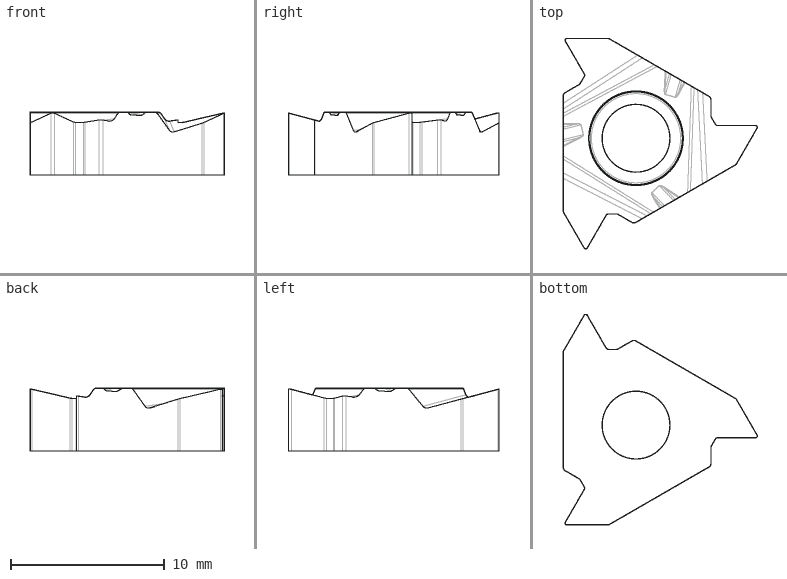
import cadquery as cq
import math

tooth_count = 3
height = 4.11
side_distance = 4.75
span = 27.42

tip_x = -3.28
tip_y = -7.21
tip_radius = 0.12
flank_slope = math.tan(math.radians(60))
valley_y = -4.94
valley_end_x = -1.22
side_round = 0.27
root_round = 0.15
ramp_round = 0.25
corner_round = 0.26

tip_height = 4.06
rake_angle = 15.0
wall_angle = 55.0
wall_turn = -32.0
wall_start_y = -1.28
groove_radius = 0.3
crest_radius = 0.22

dimple_center_y = 0.25
dimple_turn = 14.0
dimple_length = 1.28
dimple_depth = 0.2
dimple_half_width = 0.4
dimple_side_angle = 35.0
dimple_radius = 0.22
dimple_rim_radius = 0.11
dimple_overrun = 0.55
dimple_rise = 0.41

bore_radius = 4.4 / 2
mouth_radius = 3.08
seat_radius = 3.02
funnel_radius = 2.9
seat_z = 3.11
funnel_z = 2.87
throat_z = 0.56


def rotate_point(x, y, turn):
    angle = math.radians(turn)
    return (x * math.cos(angle) - y * math.sin(angle), x * math.sin(angle) + y * math.cos(angle))


def turn_index(shape, index):
    return shape.rotate((0, 0, 0), (0, 0, 1), index * 360 / tooth_count)


def make_blank():
    apex_y = tip_y - tip_radius
    flank_start = (-side_distance, apex_y + (tip_x + side_distance) * flank_slope)
    valley_start = (tip_x + (valley_y - apex_y) / flank_slope, valley_y)
    ramp_tan = math.tan(math.radians(30))
    corner_x = side_distance + valley_y * math.sin(math.radians(60)) + valley_end_x / 2
    corner = (corner_x, valley_y - (corner_x - valley_end_x) * ramp_tan)
    vertices = [
        (flank_start, side_round),
        ((tip_x, apex_y), tip_radius),
        (valley_start, root_round),
        ((valley_end_x, valley_y), ramp_round),
        (corner, corner_round),
    ]
    turns = [index * 360 / tooth_count for index in range(tooth_count)]
    outline = [rotate_point(*point, turn) for turn in turns for point, _ in vertices]
    blank = cq.Workplane("XY").polyline(outline).close().extrude(height)
    for (x, y), radius in vertices:
        for turn in turns:
            edge_point = (*rotate_point(x, y, turn), height / 2)
            blank = blank.edges(cq.NearestToPointSelector(edge_point)).fillet(radius)
    return blank


def make_groove():
    above_rake = (
        cq.Workplane("XY")
        .box(span, span, span, centered=(True, True, False))
        .rotate((0, 0, 0), (1, 0, 0), -rake_angle)
        .translate((tip_x, tip_y, tip_height))
    )
    outside_wall = (
        cq.Workplane("XY")
        .box(span, span, span, centered=(True, True, False))
        .rotate((0, 0, 0), (1, 0, 0), wall_angle)
        .rotate((0, 0, 0), (0, 0, 1), wall_turn)
        .translate((-side_distance, wall_start_y, height))
    )
    groove = above_rake.intersect(outside_wall)
    wall_drop = math.tan(math.radians(wall_angle)) * math.cos(math.radians(wall_turn))
    rake_drop = math.tan(math.radians(rake_angle))
    rake_z = tip_height - (wall_start_y - tip_y) * rake_drop
    run = (height - rake_z) / (wall_drop + rake_drop)
    root = cq.Vector(-side_distance, wall_start_y - run, height - run * wall_drop)
    root_vertex = cq.Vertex.makeVertex(*root.toTuple())
    root_edge = min(groove.edges().vals(), key=lambda edge: edge.distance(root_vertex))
    return groove.newObject([root_edge]).fillet(groove_radius)


def make_dimple():
    side_run = dimple_rise / math.tan(math.radians(dimple_side_angle))
    top_half_width = dimple_half_width + side_run
    profile = [
        (-dimple_half_width, 0),
        (dimple_half_width, 0),
        (top_half_width, dimple_rise),
        (-top_half_width, dimple_rise),
    ]
    tilt = math.degrees(math.atan2(dimple_depth, dimple_length))
    return (
        cq.Workplane("YZ")
        .polyline(profile)
        .close()
        .extrude(dimple_length + 2 * dimple_overrun)
        .edges("|X and <Z")
        .fillet(dimple_radius)
        .translate((-dimple_overrun, 0, 0))
        .rotate((0, 0, 0), (0, 1, 0), -tilt)
        .rotate((0, 0, 0), (0, 0, 1), dimple_turn)
        .translate((-side_distance, dimple_center_y, height - dimple_depth))
    )


def make_bore():
    drop = funnel_z - throat_z
    narrowing = funnel_radius - bore_radius
    half_sweep = math.atan2(narrowing, drop)
    arc_radius = drop / math.sin(2 * half_sweep)
    middle = (
        bore_radius + arc_radius * (1 - math.cos(half_sweep)),
        throat_z + arc_radius * math.sin(half_sweep),
    )
    return (
        cq.Workplane("XZ")
        .moveTo(0, 0)
        .lineTo(bore_radius, 0)
        .lineTo(bore_radius, throat_z)
        .threePointArc(middle, (funnel_radius, funnel_z))
        .lineTo(seat_radius, seat_z)
        .lineTo(mouth_radius, height)
        .lineTo(0, height)
        .close()
        .revolve(360, (0, 0, 0), (0, 1, 0))
    )


body = make_blank()
groove = make_groove()
for index in range(tooth_count):
    body = body.cut(turn_index(groove, index))

crest_reach = side_distance / 2
crest_point = (
    -side_distance + crest_reach,
    wall_start_y + crest_reach * math.tan(math.radians(wall_turn)),
)
for index in range(tooth_count):
    crest = (*rotate_point(*crest_point, index * 360 / tooth_count), height)
    body = body.edges(cq.NearestToPointSelector(crest)).fillet(crest_radius)

dimple = make_dimple()
for index in range(tooth_count):
    body = body.cut(turn_index(dimple, index))

rim_half_width = dimple_half_width + dimple_depth / 2 / math.tan(math.radians(dimple_side_angle))
rim_x, rim_y = rotate_point(dimple_length / 2, -rim_half_width, dimple_turn)
for index in range(tooth_count):
    rim_point = rotate_point(rim_x - side_distance, rim_y + dimple_center_y, index * 360 / tooth_count)
    rim = cq.NearestToPointSelector((*rim_point, height))
    body = body.faces(">Z").edges(rim).fillet(dimple_rim_radius)

result = body.cut(make_bore())